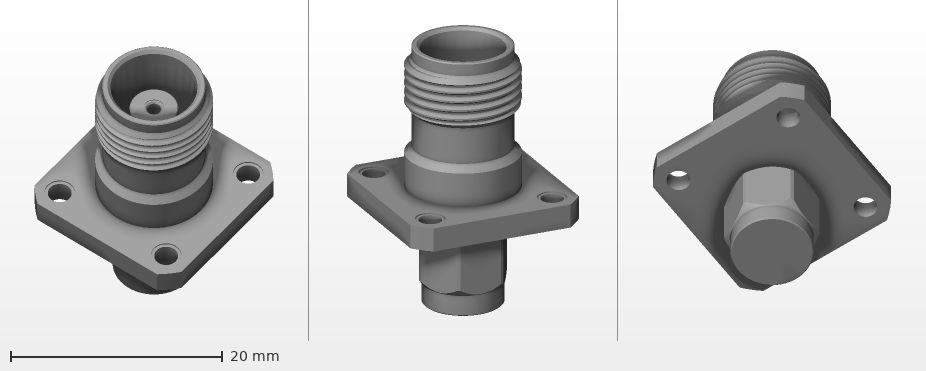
import cadquery as cq
import math

TOTAL_HEIGHT = 26.15
COLLAR_TOP = 2.07
HEX_TOP = 8.37
FLANGE_BOTTOM = 9.47
FLANGE_TOP = 11.82
SHOULDER_TOP = 15.23
THREAD_BOTTOM = 19.57
THREAD_TOP = 24.9

BARREL_RADIUS = 4.87
SHOULDER_RADIUS = 5.57
NECK_RADIUS = 3.2
COLLAR_RADIUS = 3.92
CONE_HEIGHT = SHOULDER_RADIUS - BARREL_RADIUS
EDGE_CHAMFER = 0.1

FLANGE_WIDTH = 17.5
FLANGE_FLAT = 14.25
HOLE_SPACING = 12.7
HOLE_DIAMETER = 2.25
COUNTERBORE_DIAMETER = 2.88
COUNTERBORE_DEPTH = 0.13

HEX_ACROSS_FLATS = 8.0
HEX_CORNER_RADIUS = 4.53
HEX_CHAMFER_HEIGHT = 0.73

FIVE_TURN_ADVANCE = 4.53
PITCH = FIVE_TURN_ADVANCE / 5
ROOT_RADIUS = 5.1
ROOT_FLAT = 0.18
FLANK_ANGLE = 30.0
GROOVE_HEIGHT_AT_X = 18.97
GROOVE_TURNS = 7
GROOVE_OVERCUT = 0.05

MOUTH_RADIUS = 4.4
MOUTH_CHAMFER = 0.3
BORE_FLOOR_RADIUS = 3.7
BORE_FLOOR = 17.8

INSULATOR_RADIUS = 2.3
INSULATOR_TOP = 22.92
INSULATOR_CHAMFER = 0.1
CONTACT_RADIUS = 0.95
CONTACT_RECESS = 0.08
CONTACT_HOLE_RADIUS = 0.65
CONTACT_HOLE_DEPTH = 2.62
CONTACT_COUNTERSINK = 0.15


def revolve_profile(points):
    """Revolve a closed (radius, height) outline about Z."""
    return cq.Workplane("XZ").polyline(points).close().revolve(360, (0, 0, 0), (0, 1, 0))


def cylinder(radius, bottom, top):
    return cq.Workplane("XY", origin=(0, 0, bottom)).circle(radius).extrude(top - bottom)


def make_barrel():
    """Stepped barrel above the flange, with a plain band where the thread is cut."""
    return revolve_profile([
        (0, FLANGE_TOP),
        (SHOULDER_RADIUS, FLANGE_TOP),
        (SHOULDER_RADIUS, SHOULDER_TOP),
        (BARREL_RADIUS, SHOULDER_TOP + CONE_HEIGHT),
        (BARREL_RADIUS, THREAD_BOTTOM),
        (SHOULDER_RADIUS, THREAD_BOTTOM + CONE_HEIGHT),
        (SHOULDER_RADIUS, THREAD_TOP - CONE_HEIGHT),
        (BARREL_RADIUS, THREAD_TOP),
        (BARREL_RADIUS, TOTAL_HEIGHT - EDGE_CHAMFER),
        (BARREL_RADIUS - EDGE_CHAMFER, TOTAL_HEIGHT),
        (0, TOTAL_HEIGHT),
    ])


def make_groove_turn():
    """One full turn of the V groove with its flat root, extended a little beyond the crest."""
    outer_radius = SHOULDER_RADIUS + GROOVE_OVERCUT
    half_root = ROOT_FLAT / 2
    half_mouth = half_root + (outer_radius - ROOT_RADIUS) * math.tan(math.radians(FLANK_ANGLE))
    helix = cq.Wire.makeHelix(PITCH, PITCH, ROOT_RADIUS)
    groove = (
        cq.Workplane("XZ")
        .polyline([
            (ROOT_RADIUS, -half_root),
            (outer_radius, -half_mouth),
            (outer_radius, half_mouth),
            (ROOT_RADIUS, half_root),
        ])
        .close()
        .sweep(cq.Workplane(helix), isFrenet=True)
    )
    return groove.translate((0, 0, GROOVE_HEIGHT_AT_X))


def cut_thread(body):
    """Cut the groove turn after turn, running out through the cones at both ends."""
    groove_turn = make_groove_turn()
    for turn in range(GROOVE_TURNS):
        body = body.cut(groove_turn.translate((0, 0, turn * PITCH)))
    return body


def make_socket():
    """Empty space of the socket: chamfered mouth and a bore tapering down to a flat floor."""
    throat_radius = MOUTH_RADIUS - MOUTH_CHAMFER
    return revolve_profile([
        (0, BORE_FLOOR),
        (BORE_FLOOR_RADIUS, BORE_FLOOR),
        (throat_radius, TOTAL_HEIGHT - MOUTH_CHAMFER),
        (MOUTH_RADIUS, TOTAL_HEIGHT),
        (0, TOTAL_HEIGHT),
    ])


def make_insulator_and_contact():
    """Post on the socket floor with a countersunk contact sleeve set just below its end."""
    contact_top = INSULATOR_TOP - CONTACT_RECESS
    insulator = cylinder(INSULATOR_RADIUS, BORE_FLOOR, INSULATOR_TOP)
    insulator = insulator.faces(">Z").chamfer(INSULATOR_CHAMFER)
    recess = cylinder(CONTACT_RADIUS, contact_top, INSULATOR_TOP)
    contact_hole = revolve_profile([
        (0, contact_top - CONTACT_HOLE_DEPTH),
        (CONTACT_HOLE_RADIUS, contact_top - CONTACT_HOLE_DEPTH),
        (CONTACT_HOLE_RADIUS, contact_top - CONTACT_COUNTERSINK),
        (CONTACT_HOLE_RADIUS + CONTACT_COUNTERSINK, contact_top),
        (0, contact_top),
    ])
    return insulator.cut(recess).cut(contact_hole)


def make_flange():
    """Square plate with rounded-off corners and four counterbored screw holes."""
    corner_radius = math.hypot(FLANGE_WIDTH / 2, FLANGE_FLAT / 2)
    thickness = FLANGE_TOP - FLANGE_BOTTOM
    plate = (
        cq.Workplane("XY", origin=(0, 0, FLANGE_BOTTOM))
        .rect(FLANGE_WIDTH, FLANGE_WIDTH)
        .extrude(thickness)
    )
    plate = plate.intersect(cylinder(corner_radius, FLANGE_BOTTOM, FLANGE_TOP))
    return (
        plate.faces(">Z").workplane()
        .rect(HOLE_SPACING, HOLE_SPACING, forConstruction=True)
        .vertices()
        .cboreHole(HOLE_DIAMETER, COUNTERBORE_DIAMETER, COUNTERBORE_DEPTH)
    )


def make_coupling_nut():
    """Hexagon with rounded corners and conical ends, over a round collar."""
    hex_prism = (
        cq.Workplane("XY", origin=(0, 0, COLLAR_TOP))
        .polygon(6, HEX_ACROSS_FLATS, circumscribed=True)
        .extrude(HEX_TOP - COLLAR_TOP)
    )
    envelope = revolve_profile([
        (0, COLLAR_TOP),
        (COLLAR_RADIUS, COLLAR_TOP),
        (HEX_CORNER_RADIUS, COLLAR_TOP + HEX_CHAMFER_HEIGHT),
        (HEX_CORNER_RADIUS, HEX_TOP - HEX_CHAMFER_HEIGHT),
        (COLLAR_RADIUS, HEX_TOP),
        (0, HEX_TOP),
    ])
    collar = cylinder(COLLAR_RADIUS, 0, COLLAR_TOP).faces("<Z").chamfer(EDGE_CHAMFER)
    return hex_prism.intersect(envelope).union(collar)


barrel = cut_thread(make_barrel()).cut(make_socket())
neck = cylinder(NECK_RADIUS, HEX_TOP, FLANGE_BOTTOM)

result = (
    barrel
    .union(make_insulator_and_contact())
    .union(make_flange())
    .union(neck)
    .union(make_coupling_nut())
)